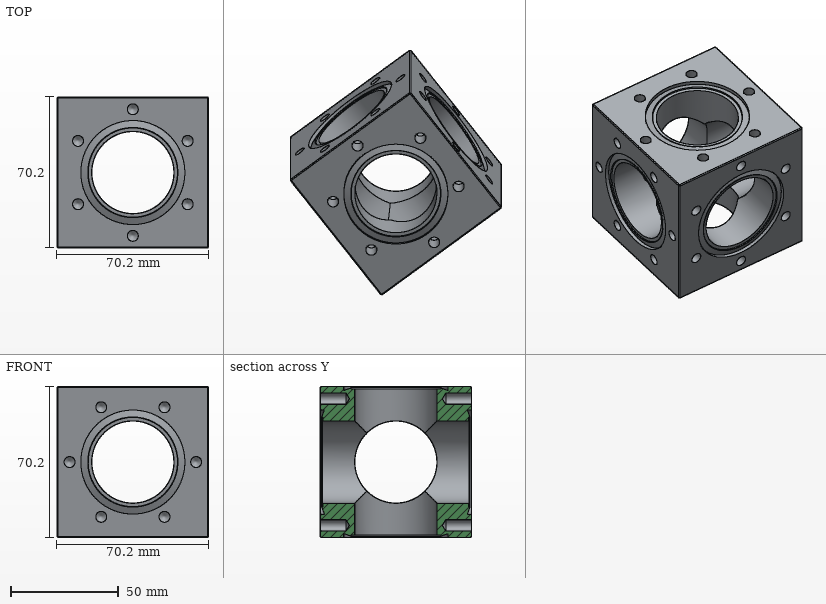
import cadquery as cq
import math

side = 70.2
edge_chamfer = 0.5
half = side / 2

bore_diameter = 38.05
recess_diameter = 48.3
knife_diameter = 41.85
step_diameter = 41.4
knife_depth = 0.6
knife_slope = 20.0
step_depth = 1.2

hole_count = 6
bolt_circle = 58.7
hole_diameter = 5.05
hole_depth = 11.9
drill_point_angle = 118.0

bore_radius = bore_diameter / 2
recess_radius = recess_diameter / 2
knife_radius = knife_diameter / 2
step_radius = step_diameter / 2
hole_radius = hole_diameter / 2
recess_depth = knife_depth + (recess_radius - knife_radius) * math.tan(math.radians(knife_slope))
point_length = hole_radius / math.tan(math.radians(drill_point_angle / 2))


def sealing_recess():
    """Half section (radius, height) revolved about Z, cut into the +Z face."""
    return (
        cq.Workplane("XZ")
        .moveTo(0, half)
        .lineTo(recess_radius, half)
        .lineTo(recess_radius, half - recess_depth)
        .lineTo(knife_radius, half - knife_depth)
        .lineTo(step_radius, half - step_depth)
        .lineTo(0, half - step_depth)
        .close()
        .revolve(360, (0, 0, 0), (0, 1, 0))
    )


def bolt_hole():
    """Drilled hole with a conical bottom, on the Z axis below the +Z face."""
    return (
        cq.Workplane("XZ")
        .moveTo(0, half)
        .lineTo(hole_radius, half)
        .lineTo(hole_radius, half - hole_depth)
        .lineTo(0, half - hole_depth - point_length)
        .close()
        .revolve(360, (0, 0, 0), (0, 1, 0))
    )


def port_cutter():
    """Bore along Z, with a recess and a ring of bolt holes at both ends."""
    mouth = sealing_recess()
    for index in range(hole_count):
        angle = 90 + index * 360 / hole_count
        hole = bolt_hole().translate((bolt_circle / 2, 0, 0)).rotate((0, 0, 0), (0, 0, 1), angle)
        mouth = mouth.union(hole)
    bore = cq.Workplane("XY").circle(bore_radius).extrude(half, both=True)
    return bore.union(mouth).union(mouth.mirror("XY"))


port_z = port_cutter()
port_x = port_z.rotate((0, 0, 0), (1, 1, 1), 120)
port_y = port_z.rotate((0, 0, 0), (1, 1, 1), 240)

result = cq.Workplane("XY").box(side, side, side).edges().chamfer(edge_chamfer)
for port in (port_x, port_y, port_z):
    result = result.cut(port)